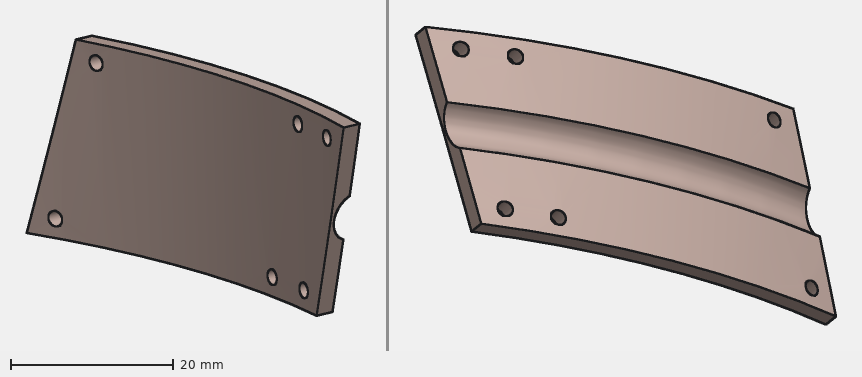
import cadquery as cq

length = 58.0
height = 26.0
slant = 6.95
left_end = -31.95
outer_radius = 105.0
thickness = 2.55
inner_radius = outer_radius - thickness

groove_width = 6.05
groove_depth = 2.0
groove_radius = ((groove_width / 2) ** 2 + groove_depth ** 2) / (2 * groove_depth)

hole_diameter = 2.0
hole_edge_distance = 2.5
lower_hole_offsets = [4.0, 41.0, 47.95]
upper_hole_offsets = [10.0, 46.65, 53.6]


def curved_shell():
    """Full ring of sheet material from which the plate is trimmed."""
    return cq.Workplane("XY").circle(outer_radius).circle(inner_radius).extrude(height)


def slanted_outline():
    """Parallelogram prism that keeps only the +Y stretch of the ring."""
    right_end = left_end + length
    corners = [
        (left_end, 0),
        (right_end - slant, 0),
        (right_end, height),
        (left_end + slant, height),
    ]
    return cq.Workplane("XZ").polyline(corners).close().extrude(-2 * outer_radius)


def groove_ring():
    """Torus following the curve, sunk into the convex face at mid height."""
    section_center = outer_radius - groove_depth + groove_radius
    return (
        cq.Workplane("XZ")
        .center(section_center, height / 2)
        .circle(groove_radius)
        .revolve(360, (-section_center, 0), (-section_center, 1))
    )


def hole_pins():
    """Pins parallel to Y for the lower and upper rows of holes."""
    lower = [(left_end + x, hole_edge_distance) for x in lower_hole_offsets]
    upper = [(left_end + x, height - hole_edge_distance) for x in upper_hole_offsets]
    return (
        cq.Workplane("XZ")
        .pushPoints(lower + upper)
        .circle(hole_diameter / 2)
        .extrude(-2 * outer_radius)
    )


plate = curved_shell().intersect(slanted_outline())
result = plate.cut(groove_ring()).cut(hole_pins())